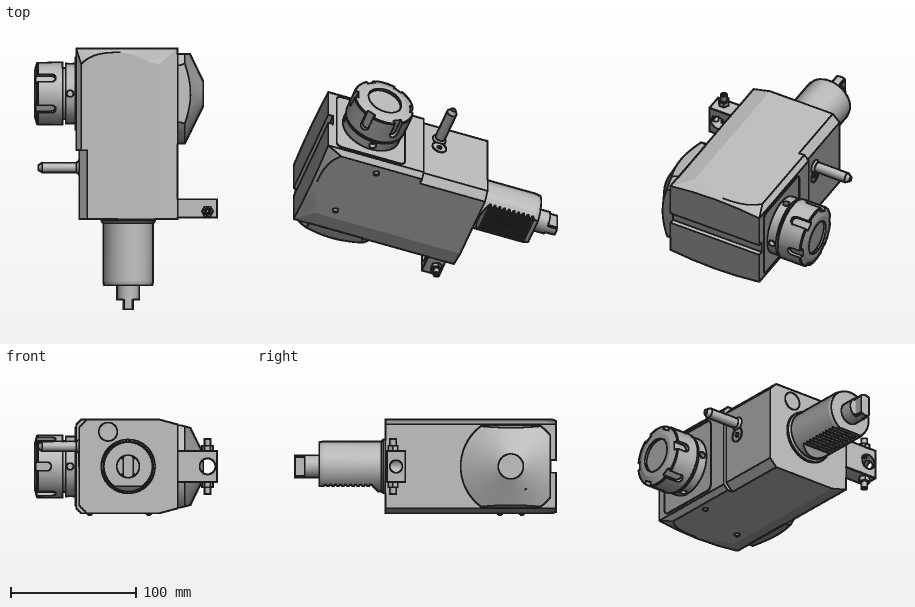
import cadquery as cq
import math


CLEARANCE = 1.0

OVERALL_LENGTH = 208.0
LENGTH = 136.0
HALF_HEIGHT = 37.5
SIDE_X = 39.5
SLOPE_START_X = 24.6
SLOPE_ANGLE = 15
SLOPE = math.tan(math.radians(SLOPE_ANGLE))
FRONT_X = -41.5
FRONT_CHAMFER = 4.1
STEP_Y = 55.0
STEP_X = -39.0
STEP_CHAMFER = 6.3
END_BEVEL_LENGTH = 12.5
END_ARCH_RISE = 2.9
BEVEL_CREST = [(-29.7, 39.6), (-21.0, 41.4), (-12.8, 41.3), (0.0, 39.2), (10.0, 38.2)]
BEVEL_TOP = 50.0
KEYWAY_WIDTH = 10.0
KEYWAY_DEPTH = 4.0
PLUG_X = -16.0
PLUG_Z = 27.6
PLUG_RADIUS = 7.4
PLUG_DEPTH = 0.2

TOOL_Y = 100.0
PAD_WIDTH = 58.0
PAD_HEIGHT = 62.6
PAD_CORNER = 4.5
PAD_X = FRONT_X - 0.5
FLANGE_RADIUS = 24.0
FLANGE_X = -49.8
FLANGE_HOLE_X = -46.2
FLANGE_HOLE_RADIUS = 2.7
FLANGE_HOLE_DEPTH = 5.0
NECK_RADIUS = 20.5
NUT_RADIUS = 25.0
NUT_BACK_X = -52.3
NUT_EDGE_X = -71.8
NUT_CONE_X = -72.7
NUT_CONE_RADIUS = 24.5
NUT_TIP_X = -74.5
NUT_TIP_RADIUS = 18.0
MOUTH_RADIUS = 13.9
MOUTH_DEPTH = 2.0
SLOT_COUNT = 6
SLOT_WIDTH = 7.0
SLOT_FLOOR_RADIUS = 21.7
SLOT_END_X = -57.7
SHORT_SLOT_END_X = -61.3
SHORT_SLOTS = (1, 4)

PIN_Y = 41.0
PIN_Z = 16.0
PIN_RADIUS = 4.0
PIN_TIP_X = -71.7
PIN_TIP_LENGTH = 3.3
PIN_TIP_RADIUS = 1.9
PIN_COLLAR_RADIUS = 5.5
PIN_COLLAR_LENGTH = 2.2
HEAD_Z = 6.1
HEAD_RADIUS = 5.8
HEAD_HEIGHT = 0.5
HEAD_SOCKET = 3.6
HEAD_SOCKET_DEPTH = 2.0

SHANK_RADIUS = 20.0
SHANK_END_Y = -52.8
SHANK_TAPER_Y = -49.6
SHANK_END_RADIUS = 19.3
COLLAR_RADIUS = 21.5
COLLAR_Y = -1.5
COLLAR_NECK_Y = -3.4
DRIVE_RADIUS = 9.0
DRIVE_SHOULDER_Y = -64.1
DRIVE_END_Y = LENGTH - OVERALL_LENGTH
TANG_THICKNESS = 8.0
TANG_CHAMFER = 0.8
TANG_FILLET = 0.8
TOOTH_COUNT = 10
TOOTH_PITCH = 4.0
FIRST_TOOTH_Y = -11.7
RACK_TIP_Z = -15.9
RACK_ROOT_Z = -14.4
ROOT_HALF_WIDTH = 0.3
TIP_HALF_LAND = 0.6

COVER_RADIUS = 40.0
COVER_RIM_X = 45.2
COVER_TIP_X = 59.9
COVER_TIP_RADIUS = 10.0
COVER_TOP_Y = 131.6
COVER_FACET_X = 41.5

BRACKET_END_X = 71.1
BRACKET_Y = 1.1
BRACKET_THICKNESS = 14.9
BRACKET_HALF_HEIGHT = 12.5
CLAMP_X = 63.2
CLAMP_HOLE_RADIUS = 6.3
CLAMP_BORE_RADIUS = 2.1
CLAMP_BORE_END = 7.5
CROSS_BORE_RADIUS = 5.0
BRACKET_CHAMFER = 0.3
CLAMP_SCREW_Y = 6.1
CLAMP_SCREW_RADIUS = 2.5
CLAMP_SCREW_TOP = 22.0
CLAMP_NUT_TOP = 16.5
CLAMP_NUT_CORNERS = 9.0
CLAMP_SOCKET = 2.8
CLAMP_SOCKET_DEPTH = 2.5

NIPPLES = [(-30.5, 91.3), (16.5, 108.8)]
NIPPLE_RADIUS = 2.3
NIPPLE_TIP_RADIUS = 0.5
NIPPLE_HEIGHT = 1.6


def slope_z(x):
    """Height of the sloping top of the housing at x."""
    return HALF_HEIGHT - (x - SLOPE_START_X) * SLOPE


def box(x_min, x_max, y_min, y_max, z_min, z_max):
    size = (x_max - x_min, y_max - y_min, z_max - z_min)
    return cq.Workplane().box(*size, centered=False).translate((x_min, y_min, z_min))


def x_cylinder(x_min, x_max, y, z, radius):
    return cq.Workplane("YZ", origin=(x_min, y, z)).circle(radius).extrude(x_max - x_min)


def turned_about_x(points, y, z):
    """Solid turned about an axis along X, from (x, radius) points."""
    profile = cq.Workplane().polyline(points).close()
    return profile.revolve(360, (0, 0, 0), (1, 0, 0)).translate((0, y, z))


def prism(left_x, chamfer, y_min, y_max):
    """Housing section with chamfered left corners and a sloping right side."""
    upper = [
        (left_x, HALF_HEIGHT - chamfer),
        (left_x + chamfer, HALF_HEIGHT),
        (SLOPE_START_X, HALF_HEIGHT),
        (SIDE_X, slope_z(SIDE_X)),
    ]
    lower = [(x, -z) for x, z in reversed(upper)]
    section = cq.Workplane("XZ", origin=(0, y_max, 0)).polyline(upper + lower).close()
    return section.extrude(y_max - y_min)


def end_bevel():
    """Curved wedge between an arch on the end face and a crest further along the top."""
    left_z = HALF_HEIGHT - FRONT_CHAMFER
    right_z = slope_z(SIDE_X)
    arch_middle = ((FRONT_X + SIDE_X) / 2, (left_z + right_z) / 2 + END_ARCH_RISE)
    at_end = (
        cq.Workplane("XZ", origin=(0, LENGTH, 0))
        .moveTo(FRONT_X, left_z)
        .threePointArc(arch_middle, (SIDE_X, right_z))
        .lineTo(SIDE_X, BEVEL_TOP)
        .lineTo(FRONT_X, BEVEL_TOP)
        .close()
    )
    crest_left_x = FRONT_X + FRONT_CHAMFER
    crest_end = (SLOPE_START_X, HALF_HEIGHT)
    at_crest = (
        cq.Workplane("XZ", origin=(0, LENGTH - END_BEVEL_LENGTH, 0))
        .moveTo(crest_left_x, HALF_HEIGHT)
        .spline([*BEVEL_CREST, crest_end], includeCurrent=True)
        .lineTo(SLOPE_START_X, BEVEL_TOP)
        .lineTo(crest_left_x, BEVEL_TOP)
        .close()
    )
    return cq.Workplane(cq.Solid.makeLoft([at_end.val(), at_crest.val()], True))


def housing():
    body = prism(FRONT_X, FRONT_CHAMFER, STEP_Y, LENGTH)
    body = body.union(prism(STEP_X, STEP_CHAMFER, 0, STEP_Y))
    bevel = end_bevel()
    body = body.cut(bevel).cut(bevel.mirror("XY"))
    half_key = KEYWAY_WIDTH / 2
    body = body.cut(box(FRONT_X, SIDE_X, LENGTH - KEYWAY_DEPTH, LENGTH, -half_key, half_key))
    plug = cq.Workplane("XZ", origin=(PLUG_X, 0, PLUG_Z)).circle(PLUG_RADIUS).extrude(-PLUG_DEPTH)
    pad = (
        cq.Workplane("YZ", origin=(PAD_X, TOOL_Y, 0))
        .rect(PAD_WIDTH, PAD_HEIGHT)
        .extrude(FRONT_X - PAD_X)
        .edges("|X")
        .fillet(PAD_CORNER)
    )
    return body.cut(plug).union(pad)


def nut_slot(angle, end_x):
    """Round-ended wrench slot at the given angle about the collet axis."""
    straight_end_x = end_x - SLOT_WIDTH / 2
    half = SLOT_WIDTH / 2
    slot = box(NUT_TIP_X, straight_end_x, -half, half, SLOT_FLOOR_RADIUS, NUT_RADIUS + CLEARANCE)
    end = (
        cq.Workplane("XY", origin=(straight_end_x, 0, SLOT_FLOOR_RADIUS))
        .circle(half)
        .extrude(NUT_RADIUS + CLEARANCE - SLOT_FLOOR_RADIUS)
    )
    return slot.union(end).rotate((0, 0, 0), (1, 0, 0), angle).translate((0, TOOL_Y, 0))


def flange_hole(angle):
    hole = (
        cq.Workplane("XY", origin=(FLANGE_HOLE_X, 0, FLANGE_RADIUS - FLANGE_HOLE_DEPTH))
        .circle(FLANGE_HOLE_RADIUS)
        .extrude(FLANGE_HOLE_DEPTH + CLEARANCE)
    )
    return hole.rotate((0, 0, 0), (1, 0, 0), angle).translate((0, TOOL_Y, 0))


def collet():
    profile = [
        (FRONT_X, 0),
        (FRONT_X, FLANGE_RADIUS),
        (FLANGE_X, FLANGE_RADIUS),
        (FLANGE_X, NECK_RADIUS),
        (NUT_BACK_X, NECK_RADIUS),
        (NUT_BACK_X, NUT_RADIUS),
        (NUT_EDGE_X, NUT_RADIUS),
        (NUT_CONE_X, NUT_CONE_RADIUS),
        (NUT_TIP_X, NUT_TIP_RADIUS),
        (NUT_TIP_X, MOUTH_RADIUS),
        (NUT_TIP_X + MOUTH_DEPTH, MOUTH_RADIUS),
        (NUT_TIP_X + MOUTH_DEPTH, 0),
    ]
    body = turned_about_x(profile, TOOL_Y, 0)
    for index in range(SLOT_COUNT):
        end_x = SHORT_SLOT_END_X if index in SHORT_SLOTS else SLOT_END_X
        body = body.cut(nut_slot((index + 0.5) * 360 / SLOT_COUNT, end_x))
    for angle in (0, 90, 180, 270):
        body = body.cut(flange_hole(angle))
    return body


def pin():
    collar_x = STEP_X - PIN_COLLAR_LENGTH
    profile = [
        (STEP_X, 0),
        (STEP_X, PIN_COLLAR_RADIUS),
        (collar_x, PIN_RADIUS),
        (PIN_TIP_X + PIN_TIP_LENGTH, PIN_RADIUS),
        (PIN_TIP_X, PIN_TIP_RADIUS),
        (PIN_TIP_X, 0),
    ]
    return turned_about_x(profile, PIN_Y, PIN_Z)


def screw_head():
    return x_cylinder(STEP_X - HEAD_HEIGHT, STEP_X, PIN_Y, HEAD_Z, HEAD_RADIUS)


def screw_head_socket():
    plane = cq.Workplane("YZ", origin=(STEP_X - HEAD_HEIGHT, PIN_Y, HEAD_Z))
    return plane.polygon(6, HEAD_SOCKET).extrude(HEAD_SOCKET_DEPTH)


def rack_cut():
    """Flat with teeth along the underside of the shank, reached by a 45 degree ramp."""
    root_y = FIRST_TOOTH_Y + ROOT_HALF_WIDTH
    ramp_drop = COLLAR_RADIUS + RACK_ROOT_Z
    points = [(root_y + ramp_drop, -COLLAR_RADIUS), (root_y, RACK_ROOT_Z)]
    for index in range(TOOTH_COUNT):
        valley_y = FIRST_TOOTH_Y - index * TOOTH_PITCH
        tip_y = valley_y - TOOTH_PITCH / 2
        points.append((valley_y - ROOT_HALF_WIDTH, RACK_ROOT_Z))
        points.append((tip_y + TIP_HALF_LAND, RACK_TIP_Z))
        if index < TOOTH_COUNT - 1:
            points.append((tip_y - TIP_HALF_LAND, RACK_TIP_Z))
            points.append((valley_y - TOOTH_PITCH + ROOT_HALF_WIDTH, RACK_ROOT_Z))
    points.append((SHANK_END_Y, RACK_TIP_Z))
    points.append((SHANK_END_Y, -COLLAR_RADIUS))
    return cq.Workplane("YZ").polyline(points).close().extrude(SHANK_RADIUS, both=True)


def shank():
    profile = [
        (0, 0),
        (COLLAR_RADIUS, 0),
        (COLLAR_RADIUS, COLLAR_Y),
        (SHANK_RADIUS, COLLAR_NECK_Y),
        (SHANK_RADIUS, SHANK_TAPER_Y),
        (SHANK_END_RADIUS, SHANK_END_Y),
        (0, SHANK_END_Y),
    ]
    body = cq.Workplane().polyline(profile).close().revolve(360, (0, 0, 0), (0, 1, 0))
    body = body.cut(rack_cut())
    drive_length = SHANK_END_Y - DRIVE_END_Y
    drive = cq.Workplane("XZ", origin=(0, SHANK_END_Y, 0)).circle(DRIVE_RADIUS).extrude(drive_length)
    half_tang = TANG_THICKNESS / 2
    for x_min, x_max in ((-DRIVE_RADIUS, -half_tang), (half_tang, DRIVE_RADIUS)):
        flat = box(x_min, x_max, DRIVE_END_Y, DRIVE_SHOULDER_Y, -DRIVE_RADIUS, DRIVE_RADIUS)
        drive = drive.cut(flat)
    long_edges = cq.selectors.BoxSelector(
        (-DRIVE_RADIUS, DRIVE_END_Y, -DRIVE_RADIUS),
        (DRIVE_RADIUS, DRIVE_SHOULDER_Y - CLEARANCE, DRIVE_RADIUS),
    )
    drive = drive.edges("|Y").edges(long_edges).chamfer(TANG_CHAMFER)
    root_edges = cq.selectors.BoxSelector(
        (-half_tang - CLEARANCE, DRIVE_SHOULDER_Y - CLEARANCE, -CLEARANCE),
        (half_tang + CLEARANCE, DRIVE_SHOULDER_Y + CLEARANCE, CLEARANCE),
    )
    drive = drive.edges("|Z").edges(root_edges).fillet(TANG_FILLET)
    return body.union(drive)


def cover():
    profile = [
        (SIDE_X, 0),
        (SIDE_X, COVER_RADIUS),
        (COVER_RIM_X, COVER_RADIUS),
        (COVER_TIP_X, COVER_TIP_RADIUS),
        (COVER_TIP_X, 0),
    ]
    upper = [
        (SIDE_X, slope_z(COVER_FACET_X)),
        (COVER_FACET_X, slope_z(COVER_FACET_X)),
        (COVER_TIP_X, slope_z(COVER_TIP_X)),
    ]
    lower = [(x, -z) for x, z in reversed(upper)]
    envelope = (
        cq.Workplane("XZ", origin=(0, COVER_TOP_Y, 0))
        .polyline(upper + lower)
        .close()
        .extrude(COVER_TOP_Y - TOOL_Y + COVER_RADIUS)
    )
    return turned_about_x(profile, TOOL_Y, 0).intersect(envelope)


def clamp_screw():
    """Screw with hexagon nut and socket, standing on top of the bracket."""
    base = cq.Workplane("XY", origin=(CLAMP_X, CLAMP_SCREW_Y, BRACKET_HALF_HEIGHT))
    nut = base.polygon(6, CLAMP_NUT_CORNERS).extrude(CLAMP_NUT_TOP - BRACKET_HALF_HEIGHT)
    screw = base.circle(CLAMP_SCREW_RADIUS).extrude(CLAMP_SCREW_TOP - BRACKET_HALF_HEIGHT)
    top = cq.Workplane("XY", origin=(CLAMP_X, CLAMP_SCREW_Y, CLAMP_SCREW_TOP))
    return nut.union(screw).cut(top.polygon(6, CLAMP_SOCKET).extrude(-CLAMP_SOCKET_DEPTH))


def bracket():
    back_y = BRACKET_Y + BRACKET_THICKNESS
    body = box(SIDE_X, BRACKET_END_X, BRACKET_Y, back_y, -BRACKET_HALF_HEIGHT, BRACKET_HALF_HEIGHT)
    hole = (
        cq.Workplane("XZ", origin=(CLAMP_X, back_y, 0))
        .circle(CLAMP_HOLE_RADIUS)
        .extrude(BRACKET_THICKNESS)
    )
    cross_bore = x_cylinder(CLAMP_X, BRACKET_END_X, (BRACKET_Y + back_y) / 2, 0, CROSS_BORE_RADIUS)
    screw_bore = (
        cq.Workplane("XY", origin=(CLAMP_X, CLAMP_SCREW_Y, 0))
        .circle(CLAMP_BORE_RADIUS)
        .extrude(CLAMP_BORE_END, both=True)
    )
    body = body.faces(">X").edges().chamfer(BRACKET_CHAMFER)
    body = body.edges("|X").chamfer(BRACKET_CHAMFER)
    screw = clamp_screw()
    return body.cut(hole).cut(cross_bore).cut(screw_bore).union(screw).union(screw.mirror("XY"))


def nipple(x, y):
    plane = cq.Workplane("XY", origin=(x, y, -HALF_HEIGHT))
    cone = plane.circle(NIPPLE_RADIUS).workplane(offset=-NIPPLE_HEIGHT).circle(NIPPLE_TIP_RADIUS)
    return cone.loft()


result = housing()
for piece in (collet(), pin(), screw_head(), shank(), cover(), bracket()):
    result = result.union(piece)
for nipple_x, nipple_y in NIPPLES:
    result = result.union(nipple(nipple_x, nipple_y))
result = result.cut(screw_head_socket())